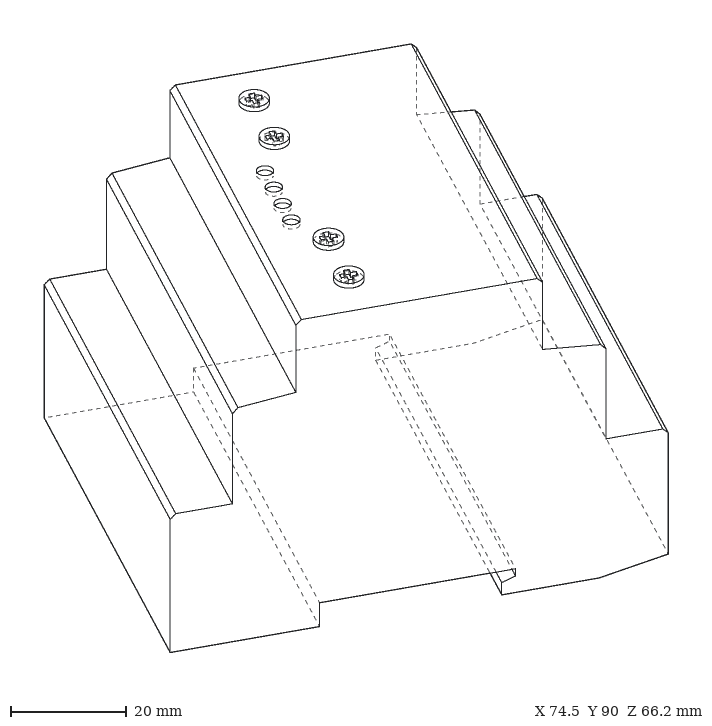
import cadquery as cq

WIDTH = 74.5
BASE_HALF_DEPTH = 45.0
MIDDLE_HALF_DEPTH = 33.75
TOP_HALF_DEPTH = 22.3
BASE_HEIGHT = 29.0
SHOULDER_OUTER_HEIGHT = 48.9
SHOULDER_INNER_HEIGHT = 50.1
BODY_HEIGHT = 65.2
EDGE_CHAMFER = 1.0

RAIL_DEPTH = 5.0
RAIL_FRONT_Y = -18.0
RAIL_BACK_Y = 17.4
HOOK_TIP_Y = 14.9
HOOK_TIP_HEIGHT = 2.6
HOOK_ROOT_HEIGHT = 3.5

LEAD_IN_HEIGHT = 2.5
LEAD_IN_LENGTH = 12.5

SCREW_XS = (-28.0, -16.0, 16.0, 28.0)
SCREW_Y = -9.9
HEAD_DIAMETER = 5.3
HEAD_HEIGHT = 1.0
CROSS_LENGTH = 3.0
CROSS_WIDTH = 1.0
CROSS_DEPTH = 1.0

INDICATOR_COUNT = 4
INDICATOR_PITCH = 5.2
INDICATOR_Y = -14.1
INDICATOR_DIAMETER = 3.0
INDICATOR_DEPTH = 0.9


def make_housing():
    """Stepped DIN rail housing with chamfered step edges."""
    profile = [
        (-BASE_HALF_DEPTH, 0),
        (-BASE_HALF_DEPTH, BASE_HEIGHT),
        (-MIDDLE_HALF_DEPTH, BASE_HEIGHT),
        (-MIDDLE_HALF_DEPTH, SHOULDER_OUTER_HEIGHT),
        (-TOP_HALF_DEPTH, SHOULDER_INNER_HEIGHT),
        (-TOP_HALF_DEPTH, BODY_HEIGHT),
        (TOP_HALF_DEPTH, BODY_HEIGHT),
        (TOP_HALF_DEPTH, SHOULDER_INNER_HEIGHT),
        (MIDDLE_HALF_DEPTH, SHOULDER_OUTER_HEIGHT),
        (MIDDLE_HALF_DEPTH, BASE_HEIGHT),
        (BASE_HALF_DEPTH, BASE_HEIGHT),
        (BASE_HALF_DEPTH, LEAD_IN_HEIGHT),
        (BASE_HALF_DEPTH - LEAD_IN_LENGTH, 0),
        (HOOK_TIP_Y, 0),
        (HOOK_TIP_Y, HOOK_TIP_HEIGHT),
        (RAIL_BACK_Y, HOOK_ROOT_HEIGHT),
        (RAIL_BACK_Y, RAIL_DEPTH),
        (RAIL_FRONT_Y, RAIL_DEPTH),
        (RAIL_FRONT_Y, 0),
    ]
    housing = cq.Workplane("YZ").polyline(profile).close().extrude(WIDTH / 2, both=True)
    step_corners = (
        (BASE_HALF_DEPTH, BASE_HEIGHT),
        (MIDDLE_HALF_DEPTH, SHOULDER_OUTER_HEIGHT),
        (TOP_HALF_DEPTH, BODY_HEIGHT),
    )
    for half_depth, height in step_corners:
        for side in (-1, 1):
            edge = cq.selectors.NearestToPointSelector((0, side * half_depth, height))
            housing = housing.edges(edge).chamfer(EDGE_CHAMFER)
    return housing


def add_screw_heads(body):
    """Round screw heads standing on the top face, each with a cross recess."""
    positions = [(x, SCREW_Y) for x in SCREW_XS]
    heads = (
        cq.Workplane("XY", origin=(0, 0, BODY_HEIGHT))
        .pushPoints(positions)
        .circle(HEAD_DIAMETER / 2)
        .extrude(HEAD_HEIGHT)
    )
    body = body.union(heads)
    head_top = cq.Workplane("XY", origin=(0, 0, BODY_HEIGHT + HEAD_HEIGHT)).pushPoints(positions)
    for size_x, size_y in ((CROSS_LENGTH, CROSS_WIDTH), (CROSS_WIDTH, CROSS_LENGTH)):
        body = body.cut(head_top.rect(size_x, size_y).extrude(-CROSS_DEPTH))
    return body


def cut_indicator_holes(body):
    """Row of shallow blind holes centred across the width."""
    holes = (
        cq.Workplane("XY", origin=(0, INDICATOR_Y, BODY_HEIGHT))
        .rarray(INDICATOR_PITCH, 1, INDICATOR_COUNT, 1)
        .circle(INDICATOR_DIAMETER / 2)
        .extrude(-INDICATOR_DEPTH)
    )
    return body.cut(holes)


result = cut_indicator_holes(add_screw_heads(make_housing()))